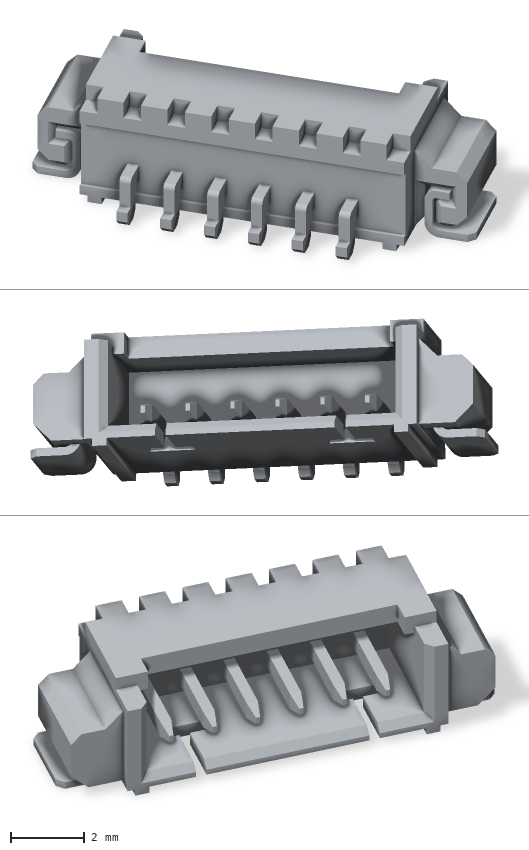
import cadquery as cq


PIN_COUNT = 6
PITCH = 1.25
PIN_WIDTH = 0.32
PIN_BOTTOM = 0.88
PIN_TOP = 1.4
PIN_TIP_Y = 3.5
TIP_LENGTH = 0.5
TIP_WIDTH = 0.12
TIP_HEIGHT = 0.2
LEG_INNER_Y = -0.23
LEG_OUTER_Y = -0.7
LEG_TOE_Y = -1.0
LEG_TOE_HEIGHT = 0.5
LEG_SOLE_CHAMFER = 0.2
LEG_OUTER_RADIUS = 0.15
LEG_INNER_RADIUS = 0.18

END_MARGIN = 1.5
BODY_WIDTH = (PIN_COUNT - 1) * PITCH + 2 * END_MARGIN
BODY_DEPTH = 4.2
BODY_BOTTOM = 0.21
BODY_TOP = 3.4
HALF_WIDTH = BODY_WIDTH / 2
MOUTH_TOP = 3.0
COVER_DEPTH = 3.2
COVER_NOTCH_Y = 2.6
COVER_NOTCH_HALF_WIDTH = 3.7

CAVITY_HALF_WIDTH = 4.0
CAVITY_BACK_Y = 1.0
CAVITY_FLOOR = 0.6
CAVITY_CEILING = 2.8
MOUTH_CHAMFER = 0.22

SLOT_X = 2 * PITCH
SLOT_WIDTH = 0.3
SLOT_HEAD_FRONT_Y = 2.78
SLOT_HEAD_BACK_Y = 2.4

NOTCH_SIZE = 0.5
NOTCH_DEPTH = 0.6
REAR_RECESS_DEPTH = 0.1
REAR_RECESS_BOTTOM = 0.5
REAR_RECESS_TOP = 2.5

RUNNER_INNER_X = 4.0
RUNNER_WIDTH = 0.4

EAR_BACK_Y = 1.0
EAR_FRONT_Y = 3.8
EAR_OUTER_X = 6.12
EAR_BOTTOM = 0.3
EAR_TOP = 2.2
EAR_TOP_CHAMFER = 0.3
EAR_BOTTOM_CHAMFER = 0.5
EAR_GUSSET = 0.5

TAB_THICKNESS = 0.23
TAB_FRONT_Y = 3.3
OVERALL_WIDTH = 12.65
TAB_FOOT_X = OVERALL_WIDTH / 2
TAB_FOOT_CHAMFER = 0.2
TAB_LEG_INNER_X = 4.9
TAB_TIP_X = 5.62
TAB_TOP = 1.49
TAB_TOP_INNER_RADIUS = 0.1
TAB_FOOT_INNER_RADIUS = 0.2
TAB_CLEARANCE = 0.04
TAB_SLOT_CHAMFER = 0.2
TAB_SLOT_CORNER_BEVEL = 0.2


def block(x_min, x_max, y_min, y_max, z_min, z_max):
    """Axis-aligned box given by its limits."""
    size = (x_max - x_min, y_max - y_min, z_max - z_min)
    return cq.Workplane("XY").box(*size, centered=False).translate((x_min, y_min, z_min))


def prism_along_y(points, y_min, y_max):
    """Extrude an XZ outline between two Y positions."""
    return cq.Workplane("XZ", origin=(0, y_min, 0)).polyline(points).close().extrude(y_min - y_max)


def row_positions(count):
    """X positions of a centred row at the contact pitch."""
    return [(index - (count - 1) / 2) * PITCH for index in range(count)]


def mating_cavity():
    cavity = block(
        -CAVITY_HALF_WIDTH, CAVITY_HALF_WIDTH, CAVITY_BACK_Y, BODY_DEPTH, CAVITY_FLOOR, CAVITY_CEILING
    )
    open_front = block(
        -CAVITY_HALF_WIDTH, CAVITY_HALF_WIDTH, COVER_DEPTH, BODY_DEPTH, CAVITY_FLOOR, BODY_TOP
    )
    cover_notch = block(
        -COVER_NOTCH_HALF_WIDTH, COVER_NOTCH_HALF_WIDTH, COVER_NOTCH_Y, BODY_DEPTH, CAVITY_FLOOR, BODY_TOP
    )
    flare = (
        cq.Workplane("XZ", origin=(0, BODY_DEPTH, 0))
        .center(0, (CAVITY_FLOOR + BODY_TOP) / 2)
        .rect(2 * (CAVITY_HALF_WIDTH + MOUTH_CHAMFER), BODY_TOP - CAVITY_FLOOR + 2 * MOUTH_CHAMFER)
        .workplane(offset=MOUTH_CHAMFER)
        .rect(2 * CAVITY_HALF_WIDTH, BODY_TOP - CAVITY_FLOOR)
        .loft(ruled=True)
    )
    return cavity.union(open_front).union(cover_notch).union(flare)


def floor_slot(x):
    """T-shaped opening through the cavity floor, its head spanning from contact to contact."""
    stem = block(x - SLOT_WIDTH / 2, x + SLOT_WIDTH / 2, SLOT_HEAD_BACK_Y, BODY_DEPTH, 0, CAVITY_FLOOR)
    head = block(x - PITCH / 2, x + PITCH / 2, SLOT_HEAD_BACK_Y, SLOT_HEAD_FRONT_Y, 0, CAVITY_FLOOR)
    return stem.union(head)


def make_housing():
    housing = block(-HALF_WIDTH, HALF_WIDTH, 0, COVER_DEPTH, BODY_BOTTOM, BODY_TOP)
    housing = housing.union(block(-HALF_WIDTH, HALF_WIDTH, 0, BODY_DEPTH, BODY_BOTTOM, MOUTH_TOP))
    housing = housing.cut(mating_cavity())
    housing = housing.cut(
        block(-HALF_WIDTH, HALF_WIDTH, 0, REAR_RECESS_DEPTH, REAR_RECESS_BOTTOM, REAR_RECESS_TOP)
    )
    for x in (-SLOT_X, SLOT_X):
        housing = housing.cut(floor_slot(x))
    for x in row_positions(PIN_COUNT + 2):
        housing = housing.cut(
            block(x - NOTCH_SIZE / 2, x + NOTCH_SIZE / 2, 0, NOTCH_DEPTH, BODY_TOP - NOTCH_SIZE, BODY_TOP)
        )
    runner = block(RUNNER_INNER_X, RUNNER_INNER_X + RUNNER_WIDTH, 0, BODY_DEPTH, 0, BODY_BOTTOM)
    return housing.union(runner).union(runner.mirror("YZ"))


def make_contact():
    """Contact centred on X = 0: straight bar with tapered tip and a bent solder leg."""
    bar_end = PIN_TIP_Y - TIP_LENGTH
    half_width = PIN_WIDTH / 2
    bar_and_leg = (
        cq.Workplane("YZ", origin=(-half_width, 0, 0))
        .moveTo(bar_end, PIN_TOP)
        .lineTo(LEG_OUTER_Y + LEG_OUTER_RADIUS, PIN_TOP)
        .radiusArc((LEG_OUTER_Y, PIN_TOP - LEG_OUTER_RADIUS), -LEG_OUTER_RADIUS)
        .lineTo(LEG_OUTER_Y, LEG_TOE_HEIGHT)
        .lineTo(LEG_TOE_Y, LEG_TOE_HEIGHT)
        .lineTo(LEG_TOE_Y, LEG_SOLE_CHAMFER)
        .lineTo(LEG_TOE_Y + LEG_SOLE_CHAMFER, 0)
        .lineTo(LEG_INNER_Y - LEG_SOLE_CHAMFER, 0)
        .lineTo(LEG_INNER_Y, LEG_SOLE_CHAMFER)
        .lineTo(LEG_INNER_Y, PIN_BOTTOM - LEG_INNER_RADIUS)
        .radiusArc((LEG_INNER_Y + LEG_INNER_RADIUS, PIN_BOTTOM), LEG_INNER_RADIUS)
        .lineTo(bar_end, PIN_BOTTOM)
        .close()
        .extrude(PIN_WIDTH)
    )
    tip = (
        cq.Workplane("XZ", origin=(0, bar_end, (PIN_BOTTOM + PIN_TOP) / 2))
        .rect(PIN_WIDTH, PIN_TOP - PIN_BOTTOM)
        .workplane(offset=-TIP_LENGTH)
        .rect(TIP_WIDTH, TIP_HEIGHT)
        .loft(ruled=True)
    )
    return bar_and_leg.union(tip)


def tab_slot_limits():
    """X of the slot's inner wall and hook face, then Z of its ceiling and hook top."""
    inner_x = TAB_LEG_INNER_X - TAB_CLEARANCE
    hook_x = TAB_LEG_INNER_X + TAB_THICKNESS + TAB_CLEARANCE
    ceiling = TAB_TOP + TAB_CLEARANCE
    hook_top = TAB_TOP - TAB_THICKNESS - TAB_CLEARANCE
    return inner_x, hook_x, ceiling, hook_top


def sharp_slot_outline(growth):
    """Slot outline with square corners, widened on every side by growth."""
    inner_x, hook_x, ceiling, hook_top = tab_slot_limits()
    return [
        (inner_x - growth, EAR_BOTTOM - growth),
        (inner_x - growth, ceiling + growth),
        (TAB_TIP_X + growth, ceiling + growth),
        (TAB_TIP_X + growth, hook_top - growth),
        (hook_x + growth, hook_top - growth),
        (hook_x + growth, EAR_BOTTOM - growth),
    ]


def bevelled_slot_outline():
    """Slot outline with the projecting corners of its walls bevelled."""
    inner_x, hook_x, ceiling, hook_top = tab_slot_limits()
    bevel = TAB_SLOT_CORNER_BEVEL
    return [
        (inner_x - bevel, EAR_BOTTOM),
        (inner_x, EAR_BOTTOM + bevel),
        (inner_x, ceiling),
        (TAB_TIP_X, ceiling),
        (TAB_TIP_X, hook_top),
        (hook_x + bevel, hook_top),
        (hook_x, hook_top - bevel),
        (hook_x, EAR_BOTTOM + bevel),
        (hook_x + bevel, EAR_BOTTOM),
    ]


def make_ear():
    """Ear on the +X side with a blind slot, flared at its rear opening."""
    ear = prism_along_y(
        [
            (HALF_WIDTH, EAR_BOTTOM),
            (HALF_WIDTH, EAR_TOP + EAR_GUSSET),
            (HALF_WIDTH + EAR_GUSSET, EAR_TOP),
            (EAR_OUTER_X - EAR_TOP_CHAMFER, EAR_TOP),
            (EAR_OUTER_X, EAR_TOP - EAR_TOP_CHAMFER),
            (EAR_OUTER_X, EAR_BOTTOM + EAR_BOTTOM_CHAMFER),
            (EAR_OUTER_X - EAR_BOTTOM_CHAMFER, EAR_BOTTOM),
        ],
        EAR_BACK_Y,
        EAR_FRONT_Y,
    )
    slot = prism_along_y(bevelled_slot_outline(), EAR_BACK_Y, TAB_FRONT_Y)
    flare = (
        cq.Workplane("XZ", origin=(0, EAR_BACK_Y, 0))
        .polyline(sharp_slot_outline(TAB_SLOT_CHAMFER))
        .close()
        .workplane(offset=-TAB_SLOT_CHAMFER)
        .polyline(sharp_slot_outline(0))
        .close()
        .loft(ruled=True)
    )
    hook_bevel = (
        cq.Workplane("YZ", origin=(TAB_LEG_INNER_X, 0, 0))
        .moveTo(EAR_BACK_Y, EAR_BOTTOM)
        .lineTo(EAR_BACK_Y + TAB_SLOT_CHAMFER, EAR_BOTTOM)
        .lineTo(EAR_BACK_Y, EAR_BOTTOM + TAB_SLOT_CHAMFER)
        .close()
        .extrude(EAR_OUTER_X - TAB_LEG_INNER_X)
    )
    return ear.cut(slot).cut(flare).cut(hook_bevel)


def make_solder_tab():
    """Bent strip on the +X side: hooked top, upright leg and a flat foot on the board."""
    top_outer_radius = TAB_TOP_INNER_RADIUS + TAB_THICKNESS
    foot_outer_radius = TAB_FOOT_INNER_RADIUS + TAB_THICKNESS
    leg_outer_x = TAB_LEG_INNER_X + TAB_THICKNESS
    hook_bottom = TAB_TOP - TAB_THICKNESS
    strip = (
        cq.Workplane("XZ", origin=(0, EAR_BACK_Y, 0))
        .moveTo(TAB_FOOT_X, 0)
        .lineTo(TAB_LEG_INNER_X + foot_outer_radius, 0)
        .radiusArc((TAB_LEG_INNER_X, foot_outer_radius), foot_outer_radius)
        .lineTo(TAB_LEG_INNER_X, TAB_TOP - top_outer_radius)
        .radiusArc((TAB_LEG_INNER_X + top_outer_radius, TAB_TOP), top_outer_radius)
        .lineTo(TAB_TIP_X, TAB_TOP)
        .lineTo(TAB_TIP_X, hook_bottom)
        .lineTo(leg_outer_x + TAB_TOP_INNER_RADIUS, hook_bottom)
        .radiusArc((leg_outer_x, hook_bottom - TAB_TOP_INNER_RADIUS), -TAB_TOP_INNER_RADIUS)
        .lineTo(leg_outer_x, foot_outer_radius)
        .radiusArc((leg_outer_x + TAB_FOOT_INNER_RADIUS, TAB_THICKNESS), -TAB_FOOT_INNER_RADIUS)
        .lineTo(TAB_FOOT_X, TAB_THICKNESS)
        .close()
        .extrude(EAR_BACK_Y - TAB_FRONT_Y)
    )
    return strip.faces(">X").edges("|Z").chamfer(TAB_FOOT_CHAMFER)


result = make_housing()
side = make_ear().union(make_solder_tab())
result = result.union(side).union(side.mirror("YZ"))
contact = make_contact()
for pin_x in row_positions(PIN_COUNT):
    result = result.union(contact.translate((pin_x, 0, 0)))